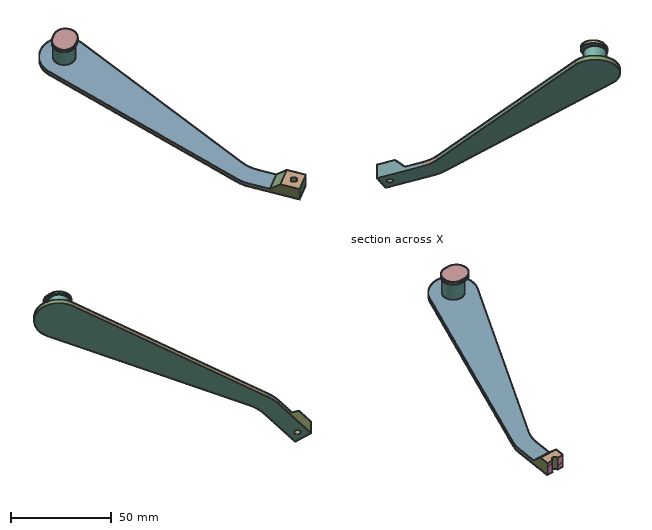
import cadquery as cq
import math


plate_thickness = 2.5
round_end_radius = 12.5
bend_x = 110.0
tip_x = 140.0
tip_width = 10.0
tip_center_y = -45.0
bend_radius = 20.0

pin_diameter = 11.5
pin_length = 10.0
head_width = 12.5
head_offset = 2.0
head_thickness = 2.0
head_chamfer = 0.23

block_height = 5.5
block_flat_length = 10.0
block_ramp_length = block_height
hole_diameter = 3.2
hole_to_tip = 4.7
hole_x = tip_x - hole_to_tip

tip_upper_y = tip_center_y + tip_width / 2
tip_lower_y = tip_center_y - tip_width / 2
block_top = plate_thickness + block_height


def tangent_point(corner_y, side):
    """Where a line from the bend corner touches the round end: side is 1 above, -1 below."""
    corner_distance = math.hypot(bend_x, corner_y)
    corner_direction = math.atan2(corner_y, bend_x)
    angle = corner_direction + side * math.acos(round_end_radius / corner_distance)
    return (round_end_radius * math.cos(angle), round_end_radius * math.sin(angle))


def round_bend(plate, corner_y):
    """Round the vertical plate edge at the bend corner."""
    corner = (bend_x, corner_y, plate_thickness / 2)
    edge = cq.selectors.NearestToPointSelector(corner)
    return plate.edges("|Z").edges(edge).fillet(bend_radius)


def make_plate():
    """Tapered arm from the round end to the narrow straight tip."""
    plate = (
        cq.Workplane("XY")
        .moveTo(*tangent_point(tip_upper_y, 1))
        .threePointArc((-round_end_radius, 0), tangent_point(tip_lower_y, -1))
        .lineTo(bend_x, tip_lower_y)
        .lineTo(tip_x, tip_lower_y)
        .lineTo(tip_x, tip_upper_y)
        .lineTo(bend_x, tip_upper_y)
        .close()
        .extrude(plate_thickness)
    )
    plate = round_bend(plate, tip_upper_y)
    return round_bend(plate, tip_lower_y)


def make_pin():
    """Round pin whose slot-shaped head overhangs further on the +Y side."""
    pin = (
        cq.Workplane("XY", origin=(0, 0, plate_thickness))
        .circle(pin_diameter / 2)
        .extrude(pin_length)
    )
    head = (
        cq.Workplane("XY", origin=(0, head_offset / 2, plate_thickness + pin_length))
        .slot2D(head_width + head_offset, head_width, 90)
        .extrude(head_thickness)
    )
    return pin.union(head).faces("|Z exc <Z").edges().chamfer(head_chamfer)


def make_block():
    """Raised block over the tip, with a sloping face towards the pin."""
    flat_start_x = tip_x - block_flat_length
    return (
        cq.Workplane("XZ", origin=(0, tip_upper_y, 0))
        .moveTo(flat_start_x - block_ramp_length, plate_thickness)
        .lineTo(flat_start_x, block_top)
        .lineTo(tip_x, block_top)
        .lineTo(tip_x, plate_thickness)
        .close()
        .extrude(tip_width)
    )


def make_hole():
    """Vertical hole through the block and the plate."""
    return (
        cq.Workplane("XY")
        .center(hole_x, tip_center_y)
        .circle(hole_diameter / 2)
        .extrude(block_top)
    )


result = make_plate().union(make_pin()).union(make_block()).cut(make_hole())